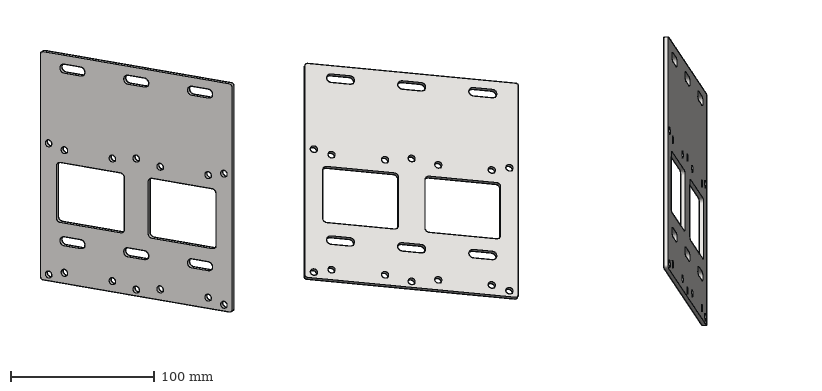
import cadquery as cq

plate_width = 152.5
plate_height = 168.3
plate_thickness = 3.2
plate_corner_radius = 2.0

window_width = 54.0
window_height = 44.1
window_corner_radius = 3.0
window_x = 36.5
window_z = -17.5

slot_length = 19.9
slot_height = 6.5
slot_pitch = 50.8
slot_rows_z = (74.2, -53.0)

hole_diameter = 5.0
frame_hole_pitch = 69.8
frame_rows_z = (17.2, -79.5)
window_hole_inner_x = 19.0
window_hole_spacing = 38.2
window_hole_rows_z = (14.1, -76.2)


def rounded_block(width, height, corner_radius):
    """Block of plate thickness with its four corners rounded."""
    return (
        cq.Workplane("XZ")
        .rect(width, height)
        .extrude(plate_thickness / 2, both=True)
        .edges("|Y")
        .fillet(corner_radius)
    )


def grid(columns_x, rows_z):
    """Every pairing of a column position with a row position."""
    return [(x, z) for x in columns_x for z in rows_z]


def cut_windows(plate):
    window = rounded_block(window_width, window_height, window_corner_radius)
    for x in (-window_x, window_x):
        plate = plate.cut(window.translate((x, 0, window_z)))
    return plate


def cut_slots(plate):
    centres = grid((-slot_pitch, 0, slot_pitch), slot_rows_z)
    slots = (
        cq.Workplane("XZ")
        .pushPoints(centres)
        .slot2D(slot_length, slot_height)
        .extrude(plate_thickness, both=True)
    )
    return plate.cut(slots)


def cut_holes(plate):
    centres = grid((-frame_hole_pitch, 0, frame_hole_pitch), frame_rows_z)
    for side in (-1, 1):
        inner_x = side * window_hole_inner_x
        outer_x = side * (window_hole_inner_x + window_hole_spacing)
        centres += grid((inner_x, outer_x), window_hole_rows_z)
    holes = (
        cq.Workplane("XZ")
        .pushPoints(centres)
        .circle(hole_diameter / 2)
        .extrude(plate_thickness, both=True)
    )
    return plate.cut(holes)


result = rounded_block(plate_width, plate_height, plate_corner_radius)
result = cut_windows(result)
result = cut_slots(result)
result = cut_holes(result)